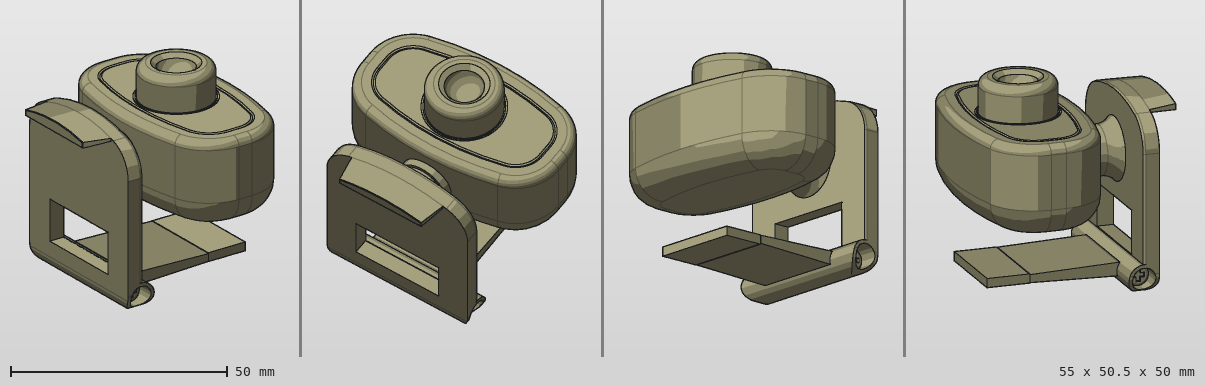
import cadquery as cq
import math


BODY_HALF_WIDTH = 27.5
BODY_HALF_DEPTH = 15.75
BODY_HEIGHT = 22.55
BODY_CORNER_RADIUS = 12.0
BODY_SIDE_FLAT = 3.75
BODY_TOP_FILLET = 2.15
BODY_BOTTOM_FILLET = 7.1

GROOVE_INSET = 4.9
GROOVE_DEPTH = 0.2
GROOVE_HALF_WIDTH = 0.45
GROOVE_WALL_ANGLE = math.degrees(math.atan(GROOVE_HALF_WIDTH / GROOVE_DEPTH))

BARREL_RADIUS = 9.25
BARREL_TOP = 31.25
BARREL_FILLET = 2.15
COLLAR_RADIUS = 10.0
COLLAR_INNER_RADIUS = 9.55
COLLAR_HEIGHT = 0.15
LENS_MOUTH_RADIUS = 5.95
LENS_RADIUS = 4.7
LENS_CONE_DEPTH = 1.05
LENS_DISH_DEPTH = 3.85

PLATE_BACK = -23.65
PLATE_FRONT = -27.65
PLATE_HALF_WIDTH = 19.6
PLATE_TOP = 25.8
PLATE_SHOULDER = 15.4
PLATE_CORNER_RADIUS = 8.65
PLATE_BACK_BEVEL = 0.6
PLATE_BACK_BEVEL_INSET = 0.15
WINDOW_HALF_WIDTH = 11.5
WINDOW_TOP = -0.35
WINDOW_BOTTOM = -11.0

HINGE_RADIUS = 3.75
HINGE_Y = PLATE_FRONT + HINGE_RADIUS
HINGE_Z = -14.95
FOOT_CORNER_RADIUS = 5.0
FOOT = HINGE_Z - HINGE_RADIUS

BORE_RADIUS = 2.85
BORE_DEPTH = 5.5
HEAD_RADIUS = 2.65
HEAD_HEIGHT = 1.4
HEAD_FILLET = 0.5
CROSS_LENGTH = 3.1
CROSS_WIDTH = 1.05
CROSS_DEPTH = 0.65

LIP_TIP = -34.75
LIP_ROOT_HALF_WIDTH = 12.7
LIP_ROOT_BOTTOM = 23.15
LIP_TIP_HALF_WIDTH = 11.35
LIP_TIP_BOTTOM = 22.7
LIP_TIP_SIDE_TOP = 24.2
LIP_TIP_TOP = 25.6
LIP_TIP_CHAMFER = 0.15

LEAF_END_HALF_WIDTH = 11.1
LEAF_ARM_HALF_WIDTH = 11.3
LEAF_END = 11.65
LEAF_STEP = 1.15
LEAF_ROOT = -20.6
LEAF_Z = -14.35
LEAF_END_THICKNESS = 2.25
LEAF_STEP_THICKNESS = 2.0
LEAF_ROOT_THICKNESS = 3.3

NECK_Z = 11.3
HUB_RADIUS = 6.7
HUB_END = -17.65
NECK_RADIUS = 6.05
NECK_FLARE_START = -19.9
NECK_FOOT_RADIUS = 7.75


def arch_radius(half_width, rise, corner_radius):
    """Radius of the crown arc that joins two corner arcs tangentially, `rise` above their centres."""
    reach = half_width - corner_radius
    return (reach**2 + rise**2 - corner_radius**2) / (2 * (rise - corner_radius))


def arch_join(half_width, rise, corner_radius):
    """Point (x, height above the corner centre) where the right corner arc meets the crown arc."""
    crown_radius = arch_radius(half_width, rise, corner_radius)
    crown_angle = math.asin((half_width - corner_radius) / (crown_radius - corner_radius))
    x = crown_radius * math.sin(crown_angle)
    return x, rise - crown_radius * (1 - math.cos(crown_angle))


def corner_middle(half_width, rise, corner_radius):
    """Point half way along the right corner arc, relative to the height of its centre."""
    x, height = arch_join(half_width, rise, corner_radius)
    middle_angle = math.atan2(height, x - (half_width - corner_radius)) / 2
    return (
        half_width - corner_radius + corner_radius * math.cos(middle_angle),
        corner_radius * math.sin(middle_angle),
    )


def body_outline():
    """Closed oblong with crowned long sides, on the XY plane."""
    flat = BODY_SIDE_FLAT / 2
    rise = BODY_HALF_DEPTH - flat
    join_x, join_height = arch_join(BODY_HALF_WIDTH, rise, BODY_CORNER_RADIUS)
    middle_x, middle_height = corner_middle(BODY_HALF_WIDTH, rise, BODY_CORNER_RADIUS)
    join_y = flat + join_height
    middle_y = flat + middle_height
    return (
        cq.Workplane("XY")
        .moveTo(BODY_HALF_WIDTH, -flat)
        .lineTo(BODY_HALF_WIDTH, flat)
        .threePointArc((middle_x, middle_y), (join_x, join_y))
        .threePointArc((0, BODY_HALF_DEPTH), (-join_x, join_y))
        .threePointArc((-middle_x, middle_y), (-BODY_HALF_WIDTH, flat))
        .lineTo(-BODY_HALF_WIDTH, -flat)
        .threePointArc((-middle_x, -middle_y), (-join_x, -join_y))
        .threePointArc((0, -BODY_HALF_DEPTH), (join_x, -join_y))
        .threePointArc((middle_x, -middle_y), (BODY_HALF_WIDTH, -flat))
        .close()
    )


def groove_slab(wall_angle):
    """Slab just below the body's top face whose walls lean inward by `wall_angle` degrees."""
    slab = body_outline().offset2D(-GROOVE_INSET).extrude(GROOVE_DEPTH, taper=wall_angle)
    return slab.translate((0, 0, BODY_HEIGHT - GROOVE_DEPTH))


def camera_body():
    """Crowned oblong with rounded rims and the groove around its face panel."""
    body = body_outline().extrude(BODY_HEIGHT)
    body = body.faces(">Z").edges().fillet(BODY_TOP_FILLET)
    body = body.faces("<Z").edges().fillet(BODY_BOTTOM_FILLET)
    groove = groove_slab(-GROOVE_WALL_ANGLE).cut(groove_slab(GROOVE_WALL_ANGLE))
    return body.cut(groove)


def lens_barrel():
    """Round-topped barrel inside a thin raised ring."""
    barrel = (
        cq.Workplane("XY", origin=(0, 0, BODY_HEIGHT))
        .circle(BARREL_RADIUS)
        .extrude(BARREL_TOP - BODY_HEIGHT)
        .faces(">Z")
        .edges()
        .fillet(BARREL_FILLET)
    )
    collar = (
        cq.Workplane("XY", origin=(0, 0, BODY_HEIGHT))
        .circle(COLLAR_RADIUS)
        .circle(COLLAR_INNER_RADIUS)
        .extrude(COLLAR_HEIGHT)
    )
    return barrel.union(collar)


def lens_recess():
    """Conical mouth leading to a spherical dish."""
    cone_bottom = BARREL_TOP - LENS_CONE_DEPTH
    dish_radius = (LENS_RADIUS**2 + LENS_DISH_DEPTH**2) / (2 * LENS_DISH_DEPTH)
    half_angle = math.asin(LENS_RADIUS / dish_radius) / 2
    dish_middle = (
        dish_radius * math.sin(half_angle),
        cone_bottom - LENS_DISH_DEPTH + dish_radius * (1 - math.cos(half_angle)),
    )
    return (
        cq.Workplane("XZ")
        .moveTo(0, BARREL_TOP)
        .lineTo(LENS_MOUTH_RADIUS, BARREL_TOP)
        .lineTo(LENS_RADIUS, cone_bottom)
        .threePointArc(dish_middle, (0, cone_bottom - LENS_DISH_DEPTH))
        .close()
        .revolve()
    )


def plate_outline():
    """Front shape of the plate: crowned top and rounded foot, on the plane of its back face."""
    rise = PLATE_TOP - PLATE_SHOULDER
    join_x, join_height = arch_join(PLATE_HALF_WIDTH, rise, PLATE_CORNER_RADIUS)
    middle_x, middle_height = corner_middle(PLATE_HALF_WIDTH, rise, PLATE_CORNER_RADIUS)
    join_z = PLATE_SHOULDER + join_height
    middle_z = PLATE_SHOULDER + middle_height
    foot_flat = PLATE_HALF_WIDTH - FOOT_CORNER_RADIUS
    foot_shoulder = FOOT + FOOT_CORNER_RADIUS
    return (
        cq.Workplane("XZ", origin=(0, PLATE_BACK, 0))
        .moveTo(-foot_flat, FOOT)
        .lineTo(foot_flat, FOOT)
        .radiusArc((PLATE_HALF_WIDTH, foot_shoulder), -FOOT_CORNER_RADIUS)
        .lineTo(PLATE_HALF_WIDTH, PLATE_SHOULDER)
        .threePointArc((middle_x, middle_z), (join_x, join_z))
        .threePointArc((0, PLATE_TOP), (-join_x, join_z))
        .threePointArc((-middle_x, middle_z), (-PLATE_HALF_WIDTH, PLATE_SHOULDER))
        .lineTo(-PLATE_HALF_WIDTH, foot_shoulder)
        .radiusArc((-foot_flat, FOOT), -FOOT_CORNER_RADIUS)
        .close()
    )


def box_between(x_range, y_range, z_range):
    sides = [high - low for low, high in (x_range, y_range, z_range)]
    corner = (x_range[0], y_range[0], z_range[0])
    return cq.Workplane("XY").box(*sides, centered=False).translate(corner)


def hinge_cylinder():
    return (
        cq.Workplane("YZ", origin=(-PLATE_HALF_WIDTH, 0, 0))
        .center(HINGE_Y, HINGE_Z)
        .circle(HINGE_RADIUS)
        .extrude(2 * PLATE_HALF_WIDTH)
    )


def clip_plate():
    """Plate with a beveled back rim, a window and the hinge barrel rolled into its foot."""
    full_width = (-PLATE_HALF_WIDTH, PLATE_HALF_WIDTH)
    plate = plate_outline().extrude(PLATE_BACK - PLATE_FRONT)
    plate = plate.faces(">Y").chamfer(PLATE_BACK_BEVEL, PLATE_BACK_BEVEL_INSET)
    plate = plate.intersect(box_between(full_width, (PLATE_FRONT, PLATE_BACK), (HINGE_Z, PLATE_TOP)))
    foot_depth = 2 * HINGE_RADIUS
    foot_block = plate_outline().extrude(foot_depth).translate((0, PLATE_FRONT + foot_depth - PLATE_BACK, 0))
    plate = plate.union(hinge_cylinder().intersect(foot_block))
    window = box_between(
        (-WINDOW_HALF_WIDTH, WINDOW_HALF_WIDTH),
        (PLATE_FRONT, PLATE_BACK),
        (WINDOW_BOTTOM, WINDOW_TOP),
    )
    return plate.cut(window)


def screw_pocket():
    """Bore in the left end of the hinge barrel, less the screw head with a cross recess at its bottom."""
    bore_end = BORE_DEPTH - PLATE_HALF_WIDTH
    head_top = bore_end - HEAD_HEIGHT
    hinge_axis = cq.Workplane("YZ").center(HINGE_Y, HINGE_Z)
    bore = hinge_axis.workplane(offset=-PLATE_HALF_WIDTH).circle(BORE_RADIUS).extrude(BORE_DEPTH)
    head = hinge_axis.workplane(offset=head_top).circle(HEAD_RADIUS).extrude(HEAD_HEIGHT)
    head = head.faces("<X").edges().fillet(HEAD_FILLET)
    cross = hinge_axis.workplane(offset=head_top).rect(CROSS_LENGTH, CROSS_WIDTH).extrude(CROSS_DEPTH)
    cross = cross.union(
        hinge_axis.workplane(offset=head_top).rect(CROSS_WIDTH, CROSS_LENGTH).extrude(CROSS_DEPTH)
    )
    return bore.cut(head.cut(cross))


def lip_section(y, half_width, bottom, side_top, top):
    """Flat-bottomed section of the lip with a crowned top."""
    return (
        cq.Workplane("XZ", origin=(0, y, 0))
        .moveTo(-half_width, bottom)
        .lineTo(half_width, bottom)
        .lineTo(half_width, side_top)
        .threePointArc((0, top), (-half_width, side_top))
        .close()
        .val()
    )


def lip():
    crown_radius = arch_radius(PLATE_HALF_WIDTH, PLATE_TOP - PLATE_SHOULDER, PLATE_CORNER_RADIUS)
    root_drop = crown_radius - math.sqrt(crown_radius**2 - LIP_ROOT_HALF_WIDTH**2)
    root = lip_section(
        PLATE_FRONT, LIP_ROOT_HALF_WIDTH, LIP_ROOT_BOTTOM, PLATE_TOP - root_drop, PLATE_TOP
    )
    tip = lip_section(LIP_TIP, LIP_TIP_HALF_WIDTH, LIP_TIP_BOTTOM, LIP_TIP_SIDE_TOP, LIP_TIP_TOP)
    tongue = cq.Workplane(cq.Solid.makeLoft([root, tip], True))
    return tongue.faces("<Y").chamfer(LIP_TIP_CHAMFER)


def support_leaf():
    """Flat end piece, then a tapered arm that thickens toward the hinge barrel."""
    side = cq.Workplane("YZ", origin=(0, 0, LEAF_Z))
    end = (
        side.center((LEAF_STEP + LEAF_END) / 2, 0)
        .rect(LEAF_END - LEAF_STEP, LEAF_END_THICKNESS)
        .extrude(LEAF_END_HALF_WIDTH, both=True)
    )
    arm = (
        side.moveTo(LEAF_STEP, -LEAF_STEP_THICKNESS / 2)
        .lineTo(LEAF_STEP, LEAF_STEP_THICKNESS / 2)
        .lineTo(LEAF_ROOT, LEAF_ROOT_THICKNESS / 2)
        .lineTo(HINGE_Y, LEAF_ROOT_THICKNESS / 2)
        .lineTo(HINGE_Y, -LEAF_ROOT_THICKNESS / 2)
        .lineTo(LEAF_ROOT, -LEAF_ROOT_THICKNESS / 2)
        .close()
        .extrude(LEAF_ARM_HALF_WIDTH, both=True)
    )
    return end.union(arm)


def neck():
    """Hub on the body and a stem that flares out to the plate."""
    flare_length = NECK_FLARE_START - PLATE_BACK
    flare_rise = NECK_FOOT_RADIUS - NECK_RADIUS
    flare_radius = (flare_length**2 + flare_rise**2) / (2 * flare_rise)
    return (
        cq.Workplane("XY")
        .lineTo(HUB_RADIUS, 0)
        .lineTo(HUB_RADIUS, HUB_END)
        .lineTo(NECK_RADIUS, HUB_END)
        .lineTo(NECK_RADIUS, NECK_FLARE_START)
        .radiusArc((NECK_FOOT_RADIUS, PLATE_BACK), -flare_radius)
        .lineTo(0, PLATE_BACK)
        .close()
        .revolve(360, (0, 0, 0), (0, 1, 0))
        .translate((0, 0, NECK_Z))
    )


left_screw_pocket = screw_pocket()
right_screw_pocket = left_screw_pocket.mirror("YZ")

camera = camera_body().union(lens_barrel()).cut(lens_recess())
clip = clip_plate().union(lip()).union(support_leaf())
clip = clip.cut(left_screw_pocket).cut(right_screw_pocket)
result = camera.union(neck()).union(clip)